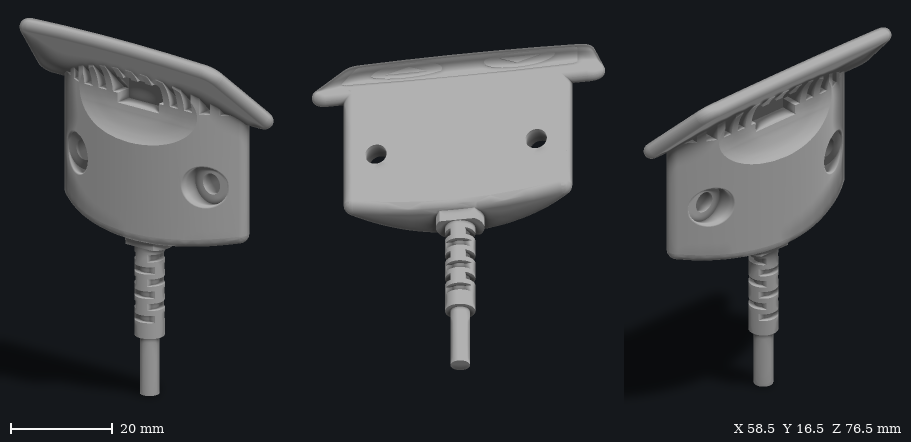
import cadquery as cq
import math


plate_tilt = 45
plate_thickness = 3.0
rim_radius = plate_thickness / 2
rim_fillet = rim_radius - 0.005
overall_height = 76.49
plate_rise = 16.49
plate_run = (plate_rise - plate_thickness) / math.sin(math.radians(plate_tilt)) + plate_thickness
plate_back_half = 30.16
plate_side_angle = 15
plate_front_sag = 1.55
plate_back_corner = 3.0
plate_front_corner = 4.0
rim_y = -rim_radius
rim_z = overall_height - plate_rise + rim_radius

keypad_step = 0.1
keypad_back = 2.1
keypad_front = 17.1
keypad_sag = 1.2
keypad_back_half = 23.7
keypad_front_half = 21.95
keypad_corner = 1.4
button_spacing = 22.1
button_middle = (keypad_back + keypad_front) / 2
button_half_length = 6.96
button_half_height = 5.48
button_corner_offset = 2.6
arrow_half_width = 4.1
arrow_tip = 2.3
arrow_base = 2.2

body_depth = 10.95
body_front_radius = 36.6
body_bottom = 33.2
body_bottom_radius = 112.0
body_fillet = 2.0
body_edge_fillet = 1.95
floor_z = 62.2
body_extent = 60.0

rib_width = 1.6
rib_pitch = 3.6
rib_root = 1.0
ribs_per_side = 5

dish_radius = 10.2
dish_y = -18.0
dish_z = 61.3
pocket_width = 10.4
pocket_bottom = 60.2
pocket_top = 66.1
pocket_back_y = -4.3

hole_x = 16.0
hole_z = 47.1
hole_diameter = 4.3
counterbore_diameter = 8.2
counterbore_floor_y = -4.7
counterbore_edge_fillet = 0.3
cutter_overrun = 1.0

cable_y = -4.3
cable_radius = 1.92
sleeve_radius = 2.98
sleeve_bottom = 12.2
collar_bottom = 31.1
collar_top = body_bottom + body_fillet
collar_radius = 4.78
collar_depth = 6.5
groove_height = 1.5
groove_pitch = 5.06
groove_top_z = 28.9
grooves_per_side = 3
web_width = 2.95


def box(x_min, x_max, y_min, y_max, z_min, z_max):
    size = (x_max - x_min, y_max - y_min, z_max - z_min)
    return cq.Workplane("XY").box(*size, centered=False).translate((x_min, y_min, z_min))


def plate_plane(height):
    """Sketch plane parallel to the plate, at a height above its middle plane.

    Local x is X; local y runs up the plate toward the back, with 0 at the back rim centre.
    """
    normal = (0, math.sin(math.radians(plate_tilt)), math.cos(math.radians(plate_tilt)))
    middle = cq.Plane(origin=(0, rim_y, rim_z), xDir=(1, 0, 0), normal=normal)
    return cq.Workplane(middle).workplane(offset=height)


def along_plate_normal():
    """Selector for edges, or face normals, square to the plate."""
    return cq.selectors.ParallelDirSelector(plate_plane(0).plane.zDir)


def make_plate():
    """Tapered slab with a bowed front edge, rounded corners and a full-round rim."""
    back = rim_radius
    front = back - plate_run
    corner = front + plate_front_sag
    front_half = plate_back_half - (back - corner) * math.tan(math.radians(plate_side_angle))
    slab = (
        plate_plane(-plate_thickness / 2)
        .moveTo(-plate_back_half, back)
        .lineTo(plate_back_half, back)
        .lineTo(front_half, corner)
        .threePointArc((0, front), (-front_half, corner))
        .close()
        .extrude(plate_thickness)
    )
    slab_middle = rim_y - plate_rise / 2
    upright = slab.edges(along_plate_normal())
    back_edges = upright.filter(lambda edge: edge.Center().y > slab_middle).vals()
    slab = slab.newObject(back_edges).fillet(plate_back_corner)
    upright = slab.edges(along_plate_normal())
    front_edges = upright.filter(lambda edge: edge.Center().y < slab_middle).vals()
    slab = slab.newObject(front_edges).fillet(plate_front_corner)
    faces = slab.faces(along_plate_normal())
    return faces.edges().fillet(rim_fillet)


def make_keypad():
    """Raised panel carrying two buttons, each with a raised arrow."""
    panel = (
        plate_plane(0)
        .moveTo(-keypad_back_half, -keypad_back - keypad_sag)
        .threePointArc((0, -keypad_back), (keypad_back_half, -keypad_back - keypad_sag))
        .lineTo(keypad_front_half, -keypad_front + keypad_sag)
        .threePointArc((0, -keypad_front), (-keypad_front_half, -keypad_front + keypad_sag))
        .close()
        .extrude(plate_thickness / 2 + keypad_step)
        .edges(along_plate_normal())
        .fillet(keypad_corner)
    )
    for direction in (1, -1):
        panel = panel.union(make_button(direction))
    return panel


def make_button(direction):
    """Button whose arrow points to the back (direction 1) or to the front (-1)."""
    sketch = plate_plane(0).center(-direction * button_spacing / 2, -button_middle)
    corner = -direction * button_corner_offset
    button = (
        sketch.moveTo(-button_half_length, corner)
        .threePointArc((0, direction * button_half_height), (button_half_length, corner))
        .threePointArc((0, -direction * button_half_height), (-button_half_length, corner))
        .close()
        .extrude(plate_thickness / 2 + 2 * keypad_step)
    )
    sketch = plate_plane(0).center(-direction * button_spacing / 2, -button_middle)
    arrow = (
        sketch.moveTo(0, direction * arrow_tip)
        .lineTo(arrow_half_width, -direction * arrow_base)
        .lineTo(-arrow_half_width, -direction * arrow_base)
        .close()
        .extrude(plate_thickness / 2 + 3 * keypad_step)
    )
    return button.union(arrow)


def make_body_blank():
    """Circular-segment column with a rounded, curved bottom, taller than the finished body."""
    half_chord = math.sqrt(body_front_radius**2 - (body_front_radius - body_depth) ** 2)
    column = (
        cq.Workplane("XY")
        .moveTo(-half_chord, 0)
        .lineTo(half_chord, 0)
        .threePointArc((0, -body_depth), (-half_chord, 0))
        .close()
        .extrude(overall_height)
        .edges("|Z")
        .fillet(body_fillet)
    )
    bottom_curve = (
        cq.Workplane("XZ")
        .center(0, body_bottom + body_bottom_radius)
        .circle(body_bottom_radius)
        .extrude(body_extent, both=True)
    )
    column = column.intersect(bottom_curve)
    return column.faces("<Z").edges().fillet(body_edge_fillet)


def make_body():
    """Body with a flat top, plus ribs reaching up to the plate's middle plane."""
    blank = make_body_blank()
    half = body_extent / 2
    above_floor = box(-half, half, -half, half, floor_z, floor_z + body_extent)
    body = blank.cut(above_floor)
    under_plate = plate_plane(0).rect(2 * body_extent, 2 * body_extent).extrude(-body_extent)
    rib_stock = blank.intersect(under_plate)
    for index in range(-ribs_per_side, ribs_per_side + 1):
        left = index * rib_pitch - rib_width / 2
        slice_box = box(left, left + rib_width, -half, half, floor_z - rib_root, overall_height)
        body = body.union(rib_stock.intersect(slice_box))
    dish = cq.Workplane("YZ").center(dish_y, dish_z).circle(dish_radius).extrude(half, both=True)
    return body.cut(dish)


def cut_screw_hole(body, x):
    """Through hole with a counterbore whose mouth is rounded."""

    def cylinder(diameter, y_back):
        plane = cq.Plane(origin=(x, y_back, hole_z), xDir=(1, 0, 0), normal=(0, -1, 0))
        return cq.Workplane(plane).circle(diameter / 2).extrude(body_extent)

    body = body.cut(cylinder(counterbore_diameter, counterbore_floor_y))
    reach = counterbore_diameter
    near_mouth = cq.selectors.BoxSelector(
        (x - reach, -body_depth, hole_z - reach),
        (x + reach, counterbore_floor_y - counterbore_edge_fillet, hole_z + reach),
    )
    body = body.edges(near_mouth).fillet(counterbore_edge_fillet)
    return body.cut(cylinder(hole_diameter, cutter_overrun))


def cut_pocket(part):
    """Connector pocket open to the front, reaching up into the plate."""
    half = pocket_width / 2
    return part.cut(box(-half, half, -body_extent, pocket_back_y, pocket_bottom, pocket_top))


def make_collar():
    """Round collar flattened at the front and back."""
    round_stock = (
        cq.Workplane("XY", origin=(0, cable_y, collar_bottom))
        .circle(collar_radius)
        .extrude(collar_top - collar_bottom)
    )
    flats = cq.Workplane("XY", origin=(0, cable_y, collar_bottom)).box(
        2 * collar_radius, collar_depth, 2 * (collar_top - collar_bottom)
    )
    return round_stock.intersect(flats)


def make_groove(z, along_x):
    """Pair of grooves on opposite sides of the sleeve, leaving the core and two webs."""
    width = 2 * collar_radius
    size = (web_width, width) if along_x else (width, web_width)
    level = cq.Workplane("XY", origin=(0, cable_y, z - groove_height / 2))
    ring = level.rect(width, width).circle(cable_radius).extrude(groove_height)
    webs = level.rect(*size).extrude(groove_height)
    return ring.cut(webs)


def make_cable():
    """Cable with a strain relief sleeve grooved alternately on its sides and its front and back."""
    sleeve = (
        cq.Workplane("XY", origin=(0, cable_y, sleeve_bottom))
        .circle(sleeve_radius)
        .extrude(collar_top - sleeve_bottom)
    )
    for index in range(grooves_per_side):
        z = groove_top_z - index * groove_pitch
        sleeve = sleeve.cut(make_groove(z, True))
        sleeve = sleeve.cut(make_groove(z - groove_pitch / 2, False))
    cable = cq.Workplane("XY", origin=(0, cable_y, 0)).circle(cable_radius).extrude(collar_top)
    return cable.union(sleeve).union(make_collar())


body = make_body()
for side in (-1, 1):
    body = cut_screw_hole(body, side * hole_x)
head = cut_pocket(body.union(make_plate()).union(make_keypad()))
result = head.union(make_cable())